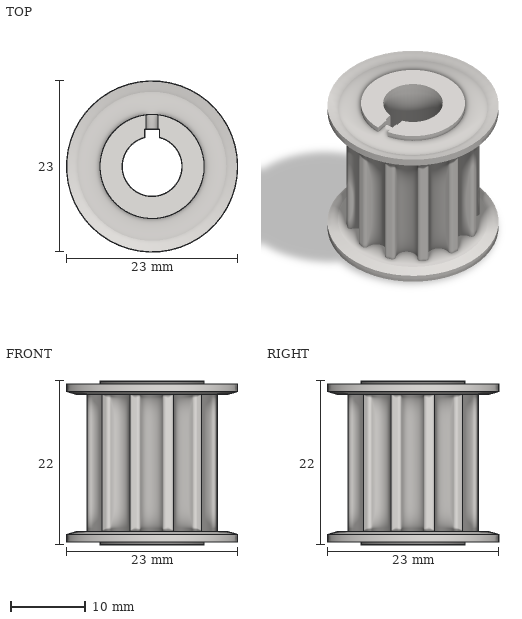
import cadquery as cq
import math

total_height = 22.0
half_height = total_height / 2
belt_width = 18.4

hub_radius = 7.0
bore_radius = 4.0
keyway_width = 1.95
keyway_reach = 5.0
notch_width = 1.59

flange_radius = 11.5
outer_flat_radius = 10.0
inner_flat_radius = 10.1
rim_setback = 0.4
rim_thickness = 1.01
web_setback = 0.8

tooth_count = 12
tip_radius = 8.97
groove_radius = 1.5
groove_centre = 8.42
tip_round = 0.44
tooth_pitch = 360 / tooth_count
first_groove_angle = -0.3

web_outer_z = half_height - web_setback
web_inner_z = belt_width / 2
rim_outer_z = half_height - rim_setback
rim_inner_z = rim_outer_z - rim_thickness


def polar(radius, angle):
    """Point at a radius and an angle in degrees from the X axis."""
    return (radius * math.cos(math.radians(angle)), radius * math.sin(math.radians(angle)))


def point_toward(start, target, distance):
    """Point at a distance from start, on the line toward target."""
    share = distance / math.dist(start, target)
    return (start[0] + share * (target[0] - start[0]), start[1] + share * (target[1] - start[1]))


def round_points(groove_angle, side):
    """Land end, middle and groove end of the rounding on one side (-1 or 1) of a groove."""
    round_orbit = tip_radius - tip_round
    reach = groove_radius + tip_round
    cosine = (round_orbit**2 + groove_centre**2 - reach**2) / (2 * round_orbit * groove_centre)
    round_angle = groove_angle + side * math.degrees(math.acos(cosine))
    centre = polar(round_orbit, round_angle)
    land_end = polar(tip_radius, round_angle)
    groove_end = point_toward(centre, polar(groove_centre, groove_angle), tip_round)
    chord_middle = ((land_end[0] + groove_end[0]) / 2, (land_end[1] + groove_end[1]) / 2)
    middle = point_toward(centre, chord_middle, tip_round)
    return land_end, middle, groove_end


def tooth_outline():
    """Closed outline of the toothed barrel: groove, rounding, land, rounding for each tooth."""
    outline = cq.Workplane("XY", origin=(0, 0, -web_inner_z))
    outline = outline.moveTo(*round_points(first_groove_angle, -1)[2])
    for tooth in range(tooth_count):
        groove_angle = first_groove_angle + tooth * tooth_pitch
        next_groove_angle = groove_angle + tooth_pitch
        land_start, leaving_middle, groove_end = round_points(groove_angle, 1)
        land_end, entering_middle, next_groove_start = round_points(next_groove_angle, -1)
        groove_bottom = polar(groove_centre - groove_radius, groove_angle)
        land_middle = polar(tip_radius, groove_angle + tooth_pitch / 2)
        outline = outline.threePointArc(groove_bottom, groove_end)
        outline = outline.threePointArc(leaving_middle, land_start)
        outline = outline.threePointArc(land_middle, land_end)
        outline = outline.threePointArc(entering_middle, next_groove_start)
    return outline.close()


def slot_cutter(width, reach, bottom_z):
    """Block from the axis toward +Y, open at the top of the part."""
    cutter = cq.Workplane("XY").box(width, reach, half_height - bottom_z, centered=(True, False, False))
    return cutter.translate((0, 0, bottom_z))


def make_core():
    """Toothed barrel with a hub at each end, keyed bore and notched top hub."""
    barrel = tooth_outline().extrude(belt_width)
    top_hub = cq.Workplane("XY", origin=(0, 0, web_inner_z)).circle(hub_radius)
    top_hub = top_hub.extrude(half_height - web_inner_z)
    bottom_hub = top_hub.mirror("XY")
    bore = cq.Workplane("XY").circle(bore_radius).extrude(half_height, both=True)
    keyway = slot_cutter(keyway_width, keyway_reach, -half_height)
    notch = slot_cutter(notch_width, hub_radius, web_outer_z)
    return barrel.union(top_hub).union(bottom_hub).cut(bore).cut(keyway).cut(notch)


def make_flange():
    """Upper flange, revolved from its dished section."""
    section = [
        (hub_radius, web_inner_z),
        (inner_flat_radius, web_inner_z),
        (flange_radius, rim_inner_z),
        (flange_radius, rim_outer_z),
        (outer_flat_radius, web_outer_z),
        (hub_radius, web_outer_z),
    ]
    return cq.Workplane("XZ").polyline(section).close().revolve(360, (0, 0, 0), (0, 1, 0))


core = make_core()
top_flange = make_flange()
bottom_flange = top_flange.mirror("XY")

result = cq.Compound.makeCompound([core.val(), top_flange.val(), bottom_flange.val()])